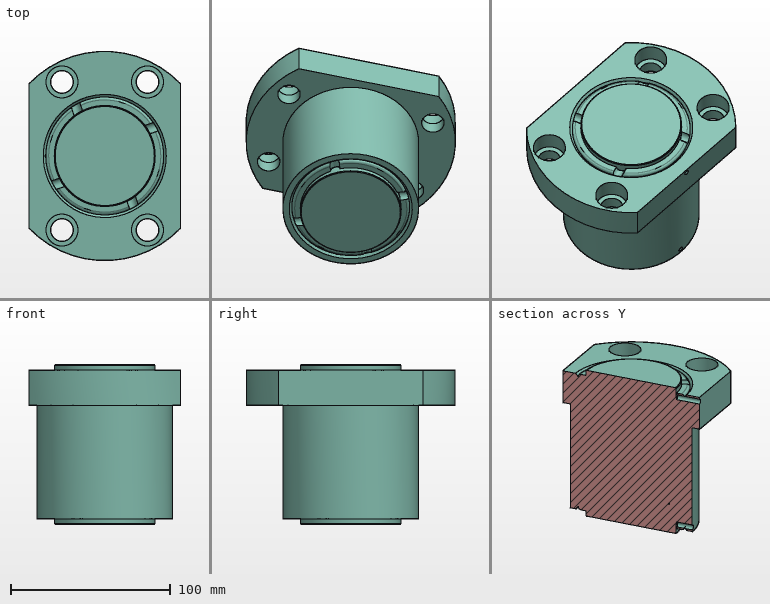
import cadquery as cq
import math

total_length = 100.0
plug_projection = 3.5
body_diameter = 85.0
flange_diameter = 131.0
flange_width = 95.0
flange_thickness = 22.0
body_bottom = plug_projection
flange_top = total_length - plug_projection
flange_bottom = flange_top - flange_thickness
mid_height = total_length / 2

plug_diameter = 63.0
plug_chamfer = 0.5

bolt_circle_diameter = 107.0
bolt_angles = (60.0, 120.0, 240.0, 300.0)
bolt_hole_diameter = 14.0
counterbore_diameter = 20.0
counterbore_depth = 13.0

ring_bore_diameter = 63.2
ring_outer_diameter = 73.8
ring_height = 3.0
ring_edge_radius = 1.8
mouth_diameter = 77.0
mouth_depth = 1.9
ring_bottom = flange_top - ring_height

notch_count = 4
notch_diameter = 6.0
notch_depth = 2.95
notch_offset = 7.2
notch_direction = 18.5
notch_axis_height = flange_top - notch_depth + notch_diameter / 2

pin_hole_diameter = 3.0
pin_hole_inset = 3.0
pin_hole_end_radius = (plug_diameter + ring_bore_diameter) / 4


def cylinder(diameter, bottom, top):
    return cq.Workplane("XY").workplane(offset=bottom).circle(diameter / 2).extrude(top - bottom)


def turn_over(shape):
    """Carry a top-end feature to the bottom end by a half turn about X."""
    return shape.rotate((0, 0, mid_height), (1, 0, mid_height), 180)


def make_nut():
    flats = cq.Workplane("XY").box(flange_width, flange_diameter, total_length, centered=(True, True, False))
    flange = cylinder(flange_diameter, flange_bottom, flange_top).intersect(flats)
    return cylinder(body_diameter, body_bottom, flange_top).union(flange)


def make_plug():
    return cylinder(plug_diameter, 0, total_length).faces("<Z or >Z").chamfer(plug_chamfer)


def mounting_holes():
    radius = bolt_circle_diameter / 2
    points = [
        (radius * math.cos(math.radians(angle)), radius * math.sin(math.radians(angle)))
        for angle in bolt_angles
    ]
    face = cq.Workplane("XY").workplane(offset=flange_top).pushPoints(points)
    holes = face.circle(bolt_hole_diameter / 2).extrude(-flange_thickness)
    counterbores = face.circle(counterbore_diameter / 2).extrude(-counterbore_depth)
    return holes.union(counterbores)


def seal_pocket():
    """Space around the plug for the seal ring, with its countersunk mouth."""
    plug_radius = plug_diameter / 2
    wall_radius = ring_outer_diameter / 2
    return (
        cq.Workplane("XZ")
        .moveTo(plug_radius, ring_bottom)
        .lineTo(wall_radius, ring_bottom)
        .lineTo(wall_radius, flange_top - mouth_depth)
        .lineTo(mouth_diameter / 2, flange_top)
        .lineTo(plug_radius, flange_top)
        .close()
        .revolve(360, (0, 0, 0), (0, 1, 0))
    )


def make_seal_ring():
    """Ring with a rounded outer edge, notched from its bore to its rim."""
    disc = cylinder(ring_outer_diameter, ring_bottom, flange_top)
    ring = disc.faces(">Z").edges().fillet(ring_edge_radius)
    ring = ring.cut(cylinder(ring_bore_diameter, ring_bottom, flange_top))
    notch = (
        cq.Workplane("YZ")
        .center(notch_offset, notch_axis_height)
        .circle(notch_diameter / 2)
        .extrude(ring_outer_diameter)
    )
    for index in range(notch_count):
        angle = notch_direction + index * 360 / notch_count
        ring = ring.cut(notch.rotate((0, 0, 0), (0, 0, 1), angle))
    return ring


def pin_hole(height):
    return (
        cq.Workplane("YZ", origin=(-pin_hole_end_radius, 0, height))
        .circle(pin_hole_diameter / 2)
        .extrude(pin_hole_end_radius - flange_width / 2)
    )


pocket = seal_pocket()
seal_ring = make_seal_ring()

result = make_nut().union(make_plug()).cut(mounting_holes())
result = result.cut(pocket).cut(turn_over(pocket))
result = result.union(seal_ring).union(turn_over(seal_ring))
result = result.cut(pin_hole(flange_top - pin_hole_inset))
result = result.cut(pin_hole(body_bottom + pin_hole_inset))